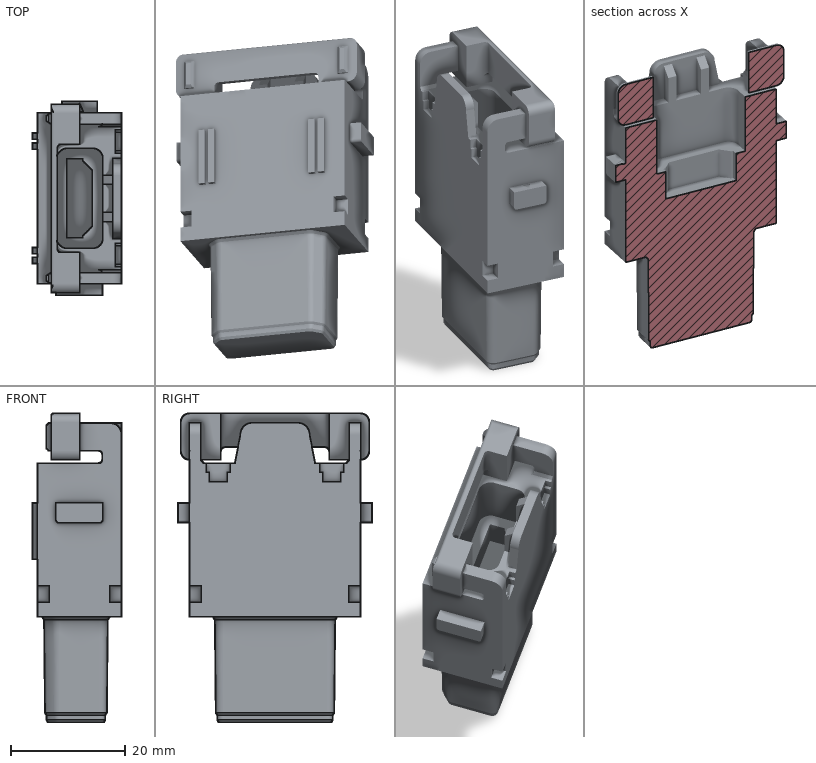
import cadquery as cq
import math


body_depth = 14.75
body_width = 30.0
body_bottom = 18.45
body_top = 45.45
half_width = body_width / 2

notch_size = 2.05
notch_bottom = 21.0
notch_top = 23.95

peg_length = 2.0
peg_bottom = 35.0
peg_top = 38.45
peg_round = 0.5
front_peg_x = (3.25, 11.4)
rear_peg_x = (4.3, 10.5)
arrow_half_width = 0.65
arrow_base_y = 15.15
arrow_tip_y = 16.6
arrow_depth = 0.1
grip_height = 0.85
grip_width = 1.15
grip_bottom = 28.55
grip_offsets = (9.15, 10.9)

boot_back = 1.15
boot_front = 12.35
boot_half_width = 10.55
boot_flat = 2.05
boot_radius = 1.45
boot_stations = [
    (body_bottom, -0.3),
    (18.0, 0),
    (1.7, 0.15),
    (1.3, 0.45),
    (0.45, 0.45),
    (0, 0.7),
]

socket_back = 3.2
socket_front = 11.5
socket_half_width = 8.75
socket_flat = 1.3
socket_radius = 1.85
socket_depth = 10.85
port_back = 5.15
port_front = 9.6
port_half_width = 6.95
port_shoulder_x = 7.95
port_shoulder_step = 0.4
port_front_half_width = 4.95
port_depth = 5.4

wing_thickness = 2.0
wing_top = 52.45
wing_round = 2.05
slot_top = 47.55
slot_end = 11.3
slot_end_round = 0.6
foot_back = 10.7
foot_width = 0.5
foot_height = 0.55

frame_back = 2.4
frame_inner = 3.45
frame_front = 7.4
frame_half_width = 16.5
frame_bottom = 46.0
frame_top = 54.15
frame_round = 1.55
frame_top_edge = 0.5
frame_block_y = 9.5
frame_block_round = 0.75
window_top = 48.2

nose_back = 1.5
nose_side_slope = 0.6
nose_chamfer = 0.5

tongue_back = 13.15
tongue_base_half = 7.05
tongue_upper_half = 6.05
tongue_flat_half = 4.05
tongue_arc_start = 50.35
rib_inner_y = 2.45
rib_outer_y = 4.05
rib_top = 51.95
rib_slope_drop = 1.6

keyway_depth = 1.1
keyway_inner_y = 7.85
keyway_outer_y = 12.0
keyway_height = 1.6
keyway_ledge = 0.5
keyway_lower_height = 1.6


def block(x_range, y_range, z_range):
    """Box between the given limits along X, Y and Z."""
    size = [high - low for low, high in (x_range, y_range, z_range)]
    corner = (x_range[0], y_range[0], z_range[0])
    return cq.Workplane("XY").box(*size, centered=False).translate(corner)


def on_both_sides(solid):
    """The solid together with its mirror image across the middle plane."""
    return solid.union(solid.mirror("XZ"))


def sleeve_outline(plane, back, front, half, flat, radius, inset=0):
    """Rounded rectangle whose two back corners are cut flat before rounding."""
    core_back = back + radius
    core_front = front - radius
    core_half = half - radius
    core_flat = flat - radius * (2 - math.sqrt(2))
    corners = [
        (core_back + core_flat, -core_half),
        (core_front, -core_half),
        (core_front, core_half),
        (core_back + core_flat, core_half),
        (core_back, core_half - core_flat),
        (core_back, core_flat - core_half),
    ]
    return plane.polyline(corners).close().offset2D(radius - inset)


def make_boot():
    sections = []
    for height, inset in boot_stations:
        plane = cq.Workplane("XY", origin=(0, 0, height))
        outline = sleeve_outline(
            plane, boot_back, boot_front, boot_half_width, boot_flat, boot_radius, inset
        )
        sections.append(outline.val())
    return cq.Workplane(cq.Solid.makeLoft(sections, True))


def make_body():
    body = block((0, body_depth), (-half_width, half_width), (body_bottom, body_top))
    for x in (0, body_depth - notch_size):
        notch = block(
            (x, x + notch_size),
            (half_width - notch_size, half_width),
            (notch_bottom, notch_top),
        )
        body = body.cut(on_both_sides(notch))
    return body


def make_pegs():
    def peg(x_range, y_range):
        solid = block(x_range, y_range, (peg_bottom, peg_top))
        return solid.edges("|Y and <Z").fillet(peg_round)

    front_peg = peg(front_peg_x, (-half_width - peg_length, -half_width))
    rear_peg = peg(rear_peg_x, (half_width, half_width + peg_length))
    middle_x = sum(rear_peg_x) / 2
    arrow = (
        cq.Workplane("XY", origin=(middle_x, 0, peg_top))
        .polyline([
            (-arrow_half_width, arrow_base_y),
            (arrow_half_width, arrow_base_y),
            (0, arrow_tip_y),
        ])
        .close()
        .extrude(-arrow_depth)
    )
    return front_peg.union(rear_peg.cut(arrow))


def make_grips():
    grips = cq.Workplane("XY")
    for offset in grip_offsets:
        y_range = (offset - grip_width / 2, offset + grip_width / 2)
        grip = block((-grip_height, 0), y_range, (grip_bottom, peg_top))
        grips = grips.union(on_both_sides(grip))
    return grips


def make_socket():
    plane = cq.Workplane("XY", origin=(0, 0, body_top))
    outline = sleeve_outline(
        plane, socket_back, socket_front, socket_half_width, socket_flat, socket_radius
    )
    recess = outline.extrude(-socket_depth)
    shoulder_half = port_half_width - port_shoulder_step
    port = (
        cq.Workplane("XY", origin=(0, 0, body_top - socket_depth))
        .polyline([
            (port_back, -port_half_width),
            (port_shoulder_x, -port_half_width),
            (port_shoulder_x, -shoulder_half),
            (port_front, -port_front_half_width),
            (port_front, port_front_half_width),
            (port_shoulder_x, shoulder_half),
            (port_shoulder_x, port_half_width),
            (port_back, port_half_width),
        ])
        .close()
        .extrude(-port_depth)
    )
    return recess.union(port)


def make_keyways():
    ledge_z = body_top - keyway_height
    x_range = (body_depth - keyway_depth, body_depth)
    upper = block(x_range, (keyway_inner_y, keyway_outer_y), (ledge_z, body_top))
    lower = block(
        x_range,
        (keyway_inner_y + keyway_ledge, keyway_outer_y - keyway_ledge),
        (ledge_z - keyway_lower_height, ledge_z),
    )
    return on_both_sides(upper.union(lower))


def make_wings():
    inner_y = half_width - wing_thickness
    foot_y = inner_y - foot_width
    wing = block((frame_back, body_depth), (inner_y, half_width), (body_top, wing_top))
    wing = wing.edges("|Y and >X and >Z").fillet(wing_round)
    foot = (
        cq.Workplane("YZ", origin=(foot_back, 0, body_top))
        .polyline([(foot_y, 0), (inner_y, 0), (inner_y, foot_height)])
        .close()
        .extrude(body_depth - foot_back)
    )
    slot = block((0, slot_end), (foot_y, half_width), (body_top, slot_top))
    wing = wing.union(foot).cut(slot.edges("|Y and >X").fillet(slot_end_round))
    nose = (
        cq.Workplane("XY", origin=(0, 0, slot_top))
        .polyline([
            (frame_back, inner_y),
            (frame_back, half_width),
            (nose_back, half_width - nose_side_slope),
            (nose_back, inner_y + nose_side_slope),
        ])
        .close()
        .extrude(wing_top - slot_top)
    )
    nose = nose.edges("|Y and <X").chamfer(nose_chamfer)
    return on_both_sides(wing.union(nose))


def make_frame():
    depth_range = (frame_back, frame_front)
    blank = block(
        depth_range, (-frame_half_width, frame_half_width), (frame_bottom, frame_top)
    )
    frame = blank.edges("|X").fillet(frame_round)
    frame = frame.intersect(blank.edges("<X and >Z").fillet(frame_top_edge))
    middle = (-frame_block_y, frame_block_y)
    gap = block((frame_inner, frame_front), middle, (frame_bottom, frame_top))
    window = block(depth_range, middle, (frame_bottom, window_top))
    frame = frame.cut(gap.edges("|Z and <X").fillet(frame_block_round))
    return frame.cut(window.edges("|X and >Z").fillet(frame_block_round))


def make_tongue():
    arc_radius = tongue_upper_half - tongue_flat_half
    arc_drop = wing_top - tongue_arc_start
    middle_y = tongue_flat_half + arc_radius * math.sin(math.pi / 4)
    middle_z = tongue_arc_start + arc_drop * math.sin(math.pi / 4)
    tongue = (
        cq.Workplane("YZ", origin=(tongue_back, 0, 0))
        .moveTo(-tongue_base_half, body_top)
        .lineTo(tongue_base_half, body_top)
        .lineTo(tongue_upper_half, tongue_arc_start)
        .threePointArc((middle_y, middle_z), (tongue_flat_half, wing_top))
        .lineTo(-tongue_flat_half, wing_top)
        .threePointArc((-middle_y, middle_z), (-tongue_upper_half, tongue_arc_start))
        .close()
        .extrude(body_depth - tongue_back)
    )
    rib = (
        cq.Workplane("XZ", origin=(0, rib_outer_y, 0))
        .polyline([
            (socket_front, body_top),
            (tongue_back, body_top),
            (tongue_back, rib_top),
            (socket_front, rib_top - rib_slope_drop),
        ])
        .close()
        .extrude(rib_outer_y - rib_inner_y)
    )
    return tongue.union(on_both_sides(rib))


result = make_body().cut(make_socket()).cut(make_keyways())
for feature in (make_boot(), make_pegs(), make_grips(), make_wings(), make_frame(), make_tongue()):
    result = result.union(feature)